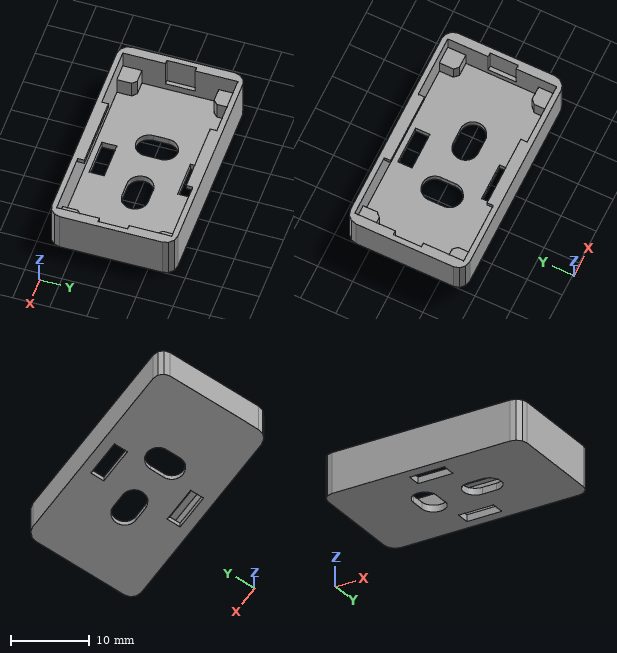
import cadquery as cq
import math

length = 30.0
width = 17.0
height = 6.0
corner_radius = 1.6
corner_flats = 3
end_wall = 1.32
side_wall = 0.75
floor_thickness = 1.0

post_length = 2.45
post_width = 2.58
post_height = 2.5
post_chamfer = 0.57

lip_length = 10.0
lip_overhang = 0.9
lip_thickness = 0.63

window_length = 5.25
window_width = 2.0
window_lip_overlap = 0.12

recess_width = 4.0
recess_depth = 0.57
recess_height = 4.0

slot_length = 5.6
slot_width = 3.5
slot_offset = 4.0

inner_length = length - 2 * end_wall
inner_width = width - 2 * side_wall


def block(size_x, size_y, bottom, top):
    """Box centred on the Z axis between two heights."""
    base = cq.Workplane("XY").workplane(offset=bottom)
    return base.rect(size_x, size_y).extrude(top - bottom)


def outer_outline():
    """Rectangle whose corners follow a radius in a few equal flats."""
    points = []
    for corner, (side_x, side_y) in enumerate([(1, 1), (-1, 1), (-1, -1), (1, -1)]):
        center_x = side_x * (length / 2 - corner_radius)
        center_y = side_y * (width / 2 - corner_radius)
        for step in range(corner_flats + 1):
            angle = math.pi / 2 * (corner + step / corner_flats)
            points.append((
                center_x + corner_radius * math.cos(angle),
                center_y + corner_radius * math.sin(angle),
            ))
    return points


def make_tray():
    outside = cq.Workplane("XY").polyline(outer_outline()).close().extrude(height)
    return outside.cut(block(inner_length, inner_width, floor_thickness, height))


def make_post(side_x, side_y):
    """Corner post with its free vertical edge chamfered."""
    post = block(post_length, post_width, floor_thickness, floor_thickness + post_height)
    free_edge = f"|Z and {'<X' if side_x > 0 else '>X'} and {'<Y' if side_y > 0 else '>Y'}"
    post = post.edges(free_edge).chamfer(post_chamfer)
    return post.translate((
        side_x * (inner_length - post_length) / 2,
        side_y * (inner_width - post_width) / 2,
        0,
    ))


def make_lip(side_y):
    lip = block(lip_length, lip_overhang, height - lip_thickness, height)
    return lip.translate((0, side_y * (inner_width - lip_overhang) / 2, 0))


def make_window(side_y):
    window = block(window_length, window_width, 0, floor_thickness)
    center_y = inner_width / 2 - lip_overhang + window_lip_overlap - window_width / 2
    return window.translate((0, side_y * center_y, 0))


def make_recess(side_x):
    recess = block(recess_depth, recess_width, height - recess_height, height)
    return recess.translate((side_x * (inner_length + recess_depth) / 2, 0, 0))


def make_slot(center_x, angle):
    slot = cq.Workplane("XY").center(center_x, 0).slot2D(slot_length, slot_width, angle)
    return slot.extrude(floor_thickness)


result = make_tray()

for side in (-1, 1):
    result = result.union(make_lip(side))
    result = result.cut(make_window(side))
    result = result.cut(make_recess(side))
    for post_side_y in (-1, 1):
        result = result.union(make_post(side, post_side_y))

result = result.cut(make_slot(-slot_offset, 90))
result = result.cut(make_slot(slot_offset, 0))